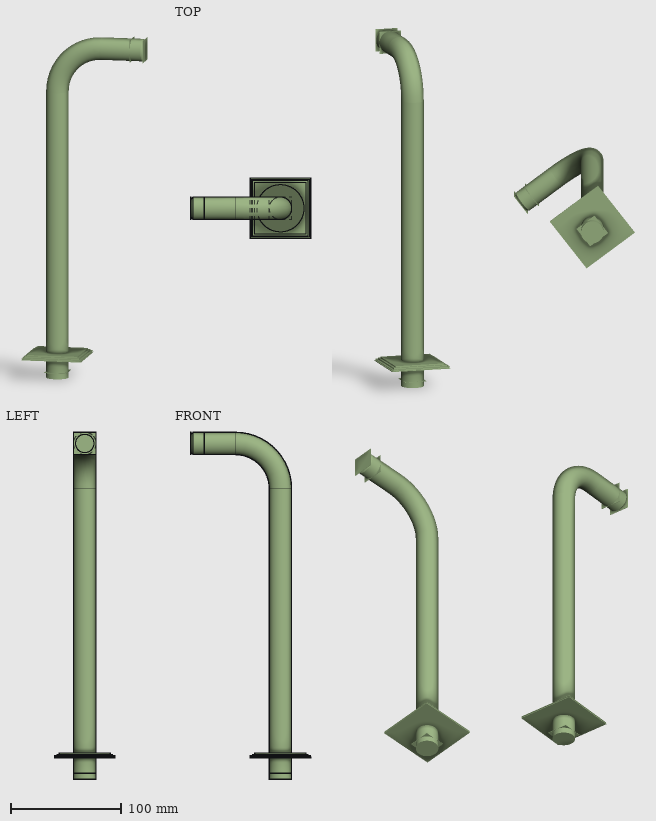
import cadquery as cq

overall_height = 314.5
tube_diameter = 20.5
tube_radius = tube_diameter / 2
bend_radius = 41.0
end_chamfer = 2.2
collar_thickness = 0.3
tip_length = 12.3
foot_length = 5.5

flange_side = 55.0
flange_bottom = 19.5
flange_layers = [
    (flange_side, 0.5),
    (52.2, 1.0),
    (54.7, 0.3),
    (50.3, 1.3),
    (46.5, 1.3),
]
flange_height = sum(thickness for _, thickness in flange_layers)

insert_radius = 21.5
insert_thickness = 1.3

overall_length = 109.0
arm_height = overall_height - tube_radius
outlet_x = flange_side / 2 - overall_length
flange_top = flange_bottom + flange_height


def make_disc(radius, bottom, height):
    """Upright cylinder around the riser axis."""
    return cq.Workplane("XY").workplane(offset=bottom).circle(radius).extrude(height)


def make_square(side, bottom, height):
    """Square plate centred on the riser axis."""
    return cq.Workplane("XY").workplane(offset=bottom).rect(side, side).extrude(height)


def make_outlet_collar(start_x):
    """Thin square collar around the horizontal run, reaching from start_x towards +X."""
    center = (start_x + collar_thickness / 2, 0, arm_height)
    return cq.Workplane("XY").box(collar_thickness, tube_diameter, tube_diameter).translate(center)


def make_arm():
    path = (
        cq.Workplane("XZ")
        .lineTo(0, arm_height - bend_radius)
        .radiusArc((-bend_radius, arm_height), -bend_radius)
        .lineTo(outlet_x, arm_height)
    )
    arm = cq.Workplane("XY").circle(tube_radius).sweep(path)
    arm = arm.faces("<X").chamfer(end_chamfer)
    for start_x in (outlet_x, outlet_x + tip_length):
        arm = arm.union(make_outlet_collar(start_x))
    return arm.union(make_square(tube_diameter, foot_length, collar_thickness))


def make_insert():
    bottom = flange_top - insert_thickness
    bore = make_disc(tube_radius, bottom, insert_thickness)
    return make_disc(insert_radius, bottom, insert_thickness).cut(bore)


def make_flange():
    bottom = flange_bottom
    flange = cq.Workplane("XY")
    for side, thickness in flange_layers:
        flange = flange.union(make_square(side, bottom, thickness))
        bottom += thickness
    bore = make_disc(tube_radius, flange_bottom, flange_height)
    seat = make_disc(insert_radius, flange_top - insert_thickness, insert_thickness)
    return flange.cut(bore).cut(seat)


arm = make_arm()
flange = make_flange()
insert = make_insert()
result = cq.Compound.makeCompound([arm.val(), flange.val(), insert.val()])